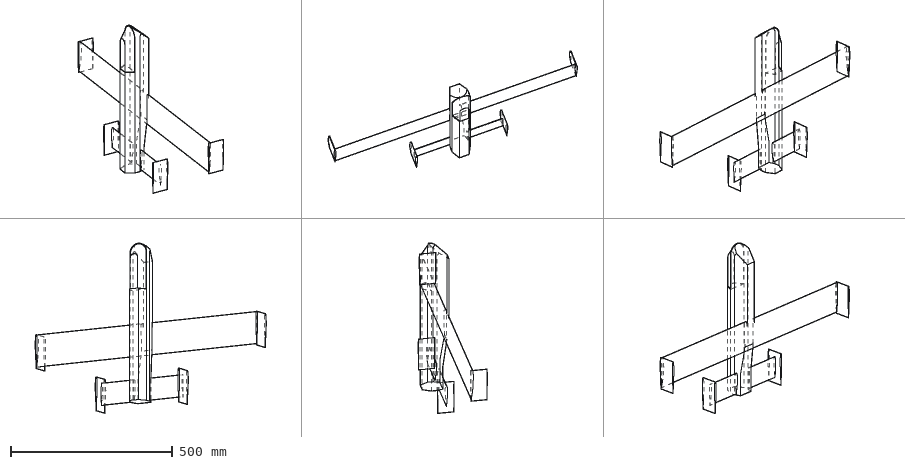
import cadquery as cq

half_width = 31.0
face_half_width = 16.0
front_y = -27.0
side_back_y = 18.0
back_y = 59.0
tail_back_y = 37.0
taper_top_z = 153.0
taper_bottom_z = 75.0

top_z = 498.0
ridge_z = 485.0
back_top_z = 448.0
front_top_z = 461.0

nose_bottom_z = 351.5
nose_inset = 2.0

fullness = 0.4
bulge_ratio = 3 / 4

wing_span = 806.0
wing_top_z = 255.0
wing_chord = 102.0
wing_thickness = 10.5
wing_back_y = 60.0
leading_edge_height = 5.0
wing_widest_share = 0.6
trailing_edge_offset = 2.0
fin_chord = 107.0
fin_thickness = 7.0
fin_back_y = 101.0
fin_depth = 51.5

tail_span = 306.0
tail_top_z = 74.0
tail_chord = 70.0
tail_thickness = 8.0
tail_wing_back_y = 27.5
tail_fin_top_z = 90.0
tail_fin_back_y = 47.0


def teardrop(workplane, center, top, chord, thickness):
    """Symmetric outline: rounded leading edge on top, smooth taper to a sharp trailing edge below."""
    control_offset = thickness / 2 / bulge_ratio
    leading_edge = (center, top)
    trailing_edge = (center, top - chord)
    control_z = top - chord * fullness
    left_controls = [(center - control_offset, top), (center - control_offset, control_z)]
    right_controls = [(center + control_offset, control_z), (center + control_offset, top)]
    return (
        workplane.moveTo(*leading_edge)
        .bezier([*left_controls, trailing_edge], includeCurrent=True)
        .bezier([*right_controls, leading_edge], includeCurrent=True)
        .close()
    )


def main_wing():
    """Flat-fronted airfoil, ending on the middle planes of its two fins."""
    front = wing_back_y - wing_thickness
    crease = (front, wing_top_z - leading_edge_height)
    leading_edge = (front + wing_thickness / 2, wing_top_z)
    back_control = (wing_back_y, wing_top_z - wing_chord * wing_widest_share)
    trailing_edge = (front + trailing_edge_offset, wing_top_z - wing_chord)
    return (
        cq.Workplane("YZ")
        .moveTo(*crease)
        .threePointArc((front + wing_thickness / 6, wing_top_z - leading_edge_height / 3), leading_edge)
        .bezier([(wing_back_y, wing_top_z), back_control, trailing_edge], includeCurrent=True)
        .close()
        .extrude((wing_span - fin_thickness) / 2, both=True)
    )


def tail_wing():
    """Symmetric airfoil, ending on the middle planes of its two fins."""
    center = tail_wing_back_y - tail_thickness / 2
    profile = teardrop(cq.Workplane("YZ"), center, tail_top_z, tail_chord, tail_thickness)
    return profile.extrude((tail_span - fin_thickness) / 2, both=True)


def fin(side, span, top, back):
    """Upright end plate with the same teardrop outline, seen along Y."""
    center = side * (span - fin_thickness) / 2
    profile = teardrop(cq.Workplane("XZ", origin=(0, back, 0)), center, top, fin_chord, fin_thickness)
    return profile.extrude(fin_depth)


def round_topped(workplane, half, top, bottom):
    shoulder = top - half
    return (
        workplane.moveTo(-half, bottom)
        .lineTo(-half, shoulder)
        .threePointArc((0, top), (half, shoulder))
        .lineTo(half, bottom)
        .close()
    )


def nose_cover():
    """Round-topped outline narrowing towards the front face, set in from the back half."""
    base = round_topped(cq.Workplane("XZ"), half_width - nose_inset, top_z - nose_inset, nose_bottom_z)
    face = base.workplane(offset=-front_y)
    return round_topped(face, face_half_width - nose_inset, front_top_z, nose_bottom_z).loft(ruled=True)


def back_half():
    section = (
        cq.Workplane("XY")
        .polyline([
            (-half_width, 0), (half_width, 0), (half_width, side_back_y),
            (face_half_width, back_y), (-face_half_width, back_y), (-half_width, side_back_y),
        ])
        .close()
        .extrude(top_z)
    )
    round_top = round_topped(cq.Workplane("XZ"), half_width, top_z, 0).extrude(-back_y)
    side_outline = (
        cq.Workplane("YZ")
        .polyline([
            (0, 0), (0, top_z), (side_back_y, ridge_z), (back_y, back_top_z),
            (back_y, wing_top_z), (wing_back_y - wing_thickness, taper_top_z),
            (tail_back_y, taper_bottom_z), (tail_back_y, 0),
        ])
        .close()
        .extrude(half_width, both=True)
    )
    return section.intersect(round_top).intersect(side_outline)


def lower_front():
    return (
        cq.Workplane("XY")
        .polyline([
            (-half_width, 0), (half_width, 0),
            (face_half_width, front_y), (-face_half_width, front_y),
        ])
        .close()
        .extrude(nose_bottom_z)
    )


airframe = back_half().union(lower_front())
airframe = airframe.union(main_wing()).union(tail_wing())
for side in (-1, 1):
    airframe = airframe.union(fin(side, wing_span, wing_top_z, fin_back_y))
    airframe = airframe.union(fin(side, tail_span, tail_fin_top_z, tail_fin_back_y))

nose = nose_cover()

result = cq.Compound.makeCompound([airframe.val(), nose.val()])